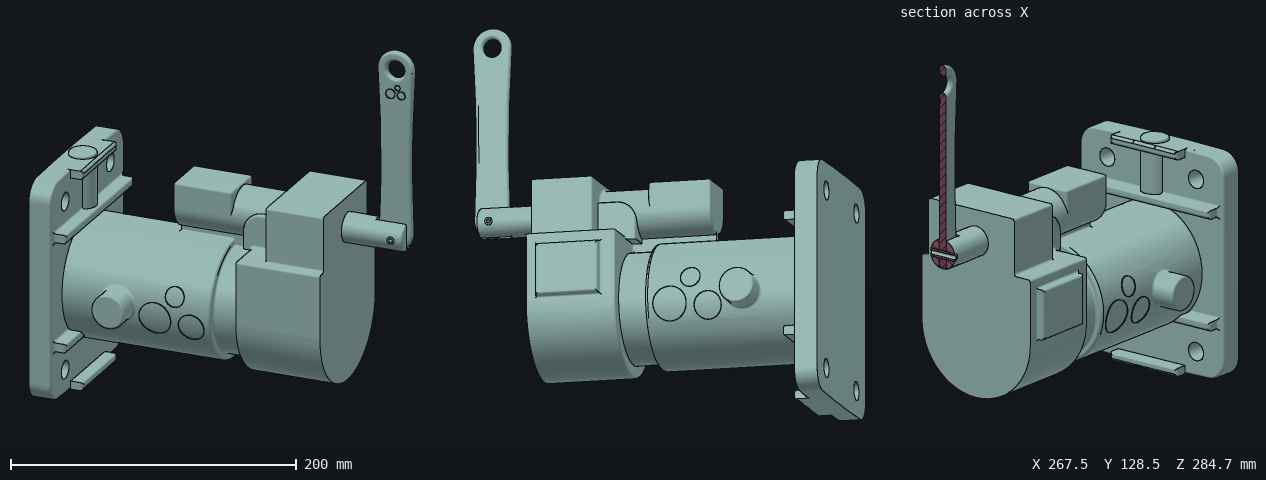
import cadquery as cq

EDGE_RADIUS = 2.0
BASE_RADIUS = 2.0

ROOT_MARGIN = 0.3

PLATE_THICKNESS = 17.0
PLATE_WIDTH = 128.5
PLATE_TOP = 89.5
PLATE_BOTTOM = -77.5
PLATE_CORNER_RADIUS = 14.2
PLATE_CROWN = 1.0
BOLT_HOLE_DIAMETER = 13.5
BOLT_HALF_SPACING = 39.5
BOLT_UPPER_Z = 68.5
BOLT_LOWER_Z = -58.5

RIB_END_X = 26.5
RIB_HEIGHT = 6.5
SHORT_RIB_WIDTH = 59.5
LONG_RIB_WIDTH = 118.0
SHORT_RIB_INSET = RIB_HEIGHT / 2
UPPER_LONG_RIB_Z = 48.5
LOWER_LONG_RIB_Z = -34.2

PLUG_X = 13.5
PLUG_DIAMETER = 20.5
PLUG_TOP = 92.0

BARREL_DIAMETER = 90.0
BARREL_END_X = 130.5
NECK_DIAMETER = 79.5
NECK_BASE_RADIUS = 1.5
TRUNNION_X = 59.5
TRUNNION_DIAMETER = 25.0
TRUNNION_SPAN = 124.0
TRUNNION_EDGE_RADIUS = 1.5

BARREL_DIMPLES = [(87.7, -6.5, 24.2), (102.5, 11.7, 14.2), (115.3, -9.0, 19.5)]
BARREL_DIMPLE_MID_X = 100.2
DIMPLE_DEPTH = 0.5

GEARBOX_START_X = 151.0
GEARBOX_END_X = 215.8
GEARBOX_RADIUS = 48.5
HEAD_START_X = 171.5
HEAD_LEFT_Y = 34.2
HEAD_RIGHT_Y = -42.5
HEAD_TOP = 90.5
COVER_START_X = 162.3
COVER_END_X = 207.8
COVER_BOTTOM_Z = 2.8
COVER_TOP_Z = 39.9
COVER_FACE_Y = 53.8
COVER_BASE_RADIUS = 1.5

SHAFT_Z = 67.5
MOTOR_RADIUS = 18.0
MOTOR_START_X = 90.0
MOTOR_BLOCK_END_X = 135.5
MOTOR_BLOCK_TOP = 87.0
WEB_WIDTH = 5.0
WEB_BASE_RADIUS = 1.5
GUSSET_START_X = 144.0
GUSSET_WIDTH = 39.3
GUSSET_BOTTOM = 46.5
GUSSET_TOP = 74.0
GUSSET_CORNER_RADIUS = 14.5

SHAFT_DIAMETER = 22.0
SHAFT_END_X = 262.2
SHAFT_EDGE_RADIUS = 2.0
SLOT_START_X = 238.8

ARM_X = 253.3
ARM_THICKNESS = 6.0
ARM_EDGE_RADIUS = 2.8
ARM_EYE_Z = 193.0
ARM_EYE_RADIUS = 14.2
ARM_EYE_HOLE_DIAMETER = 12.5
ARM_WAIST_Z = 131.0
ARM_WAIST_HALF_WIDTH = 12.0
ARM_FOOT_Z = 69.7
ARM_FOOT_RADIUS = 13.0
ARM_DIMPLES = [(-3.7, 174.8, 7.0), (1.7, 180.0, 4.0), (4.5, 174.5, 6.0)]

PIN_DIAMETER = 5.5
PIN_BORE_DIAMETER = 2.7
PIN_Z = SHAFT_Z - 0.3


def block(x_range, y_range, z_range):
    """Box between the given limits."""
    low, high = zip(x_range, y_range, z_range)
    size = [end - start for start, end in zip(low, high)]
    return cq.Workplane("XY").box(*size, centered=False).translate(low)


def cylinder_x(diameter, start_x, end_x, z=0):
    """Cylinder along X."""
    return (
        cq.Workplane("YZ", origin=(start_x, 0, z))
        .circle(diameter / 2)
        .extrude(end_x - start_x)
    )


def cylinder_y(diameter, x, z, start_y, end_y):
    """Cylinder along Y."""
    return (
        cq.Workplane("XZ", origin=(x, start_y, z))
        .circle(diameter / 2)
        .extrude(start_y - end_y)
    )


def edges_within(body, x_range, y_range, z_range):
    """Edges whose centres lie between the given limits."""
    low, high = zip(x_range, y_range, z_range)
    return body.edges(cq.selectors.BoxSelector(low, high))


def plate_outline():
    """Closed outline of the plate, with gently crowned top and bottom edges."""
    half_width = PLATE_WIDTH / 2
    return (
        cq.Workplane("YZ")
        .moveTo(-half_width, PLATE_BOTTOM + PLATE_CROWN)
        .threePointArc((0, PLATE_BOTTOM), (half_width, PLATE_BOTTOM + PLATE_CROWN))
        .lineTo(half_width, PLATE_TOP - PLATE_CROWN)
        .threePointArc((0, PLATE_TOP), (-half_width, PLATE_TOP - PLATE_CROWN))
        .close()
    )


def make_rib(width, z):
    """Horizontal rib on the back of the plate, kept inside the plate outline."""
    rib = block(
        (PLATE_THICKNESS / 2, RIB_END_X),
        (-width / 2, width / 2),
        (z - RIB_HEIGHT / 2, z + RIB_HEIGHT / 2),
    ).intersect(plate_outline().extrude(RIB_END_X))
    return rib.faces(">X").edges().fillet(EDGE_RADIUS)


def make_plate():
    """Mounting plate with the long ribs on its back."""
    plate = (
        plate_outline()
        .extrude(PLATE_THICKNESS)
        .edges("|X").fillet(PLATE_CORNER_RADIUS)
        .faces(">X").edges().fillet(EDGE_RADIUS)
    )
    for z in (UPPER_LONG_RIB_Z, LOWER_LONG_RIB_Z):
        plate = plate.union(make_rib(LONG_RIB_WIDTH, z))
        rib_root = edges_within(
            plate,
            (PLATE_THICKNESS - ROOT_MARGIN, PLATE_THICKNESS + ROOT_MARGIN),
            (-LONG_RIB_WIDTH, LONG_RIB_WIDTH),
            (z - RIB_HEIGHT, z + RIB_HEIGHT),
        )
        plate = rib_root.fillet(BASE_RADIUS)
    return plate


def add_plate_details(body):
    """Short ribs at the plate edges, the vertical plug and the bolt holes."""
    for z in (PLATE_TOP - SHORT_RIB_INSET, PLATE_BOTTOM + SHORT_RIB_INSET):
        body = body.union(make_rib(SHORT_RIB_WIDTH, z))

    plug = (
        cq.Workplane("XY", origin=(PLUG_X, 0, UPPER_LONG_RIB_Z))
        .circle(PLUG_DIAMETER / 2)
        .extrude(PLUG_TOP - UPPER_LONG_RIB_Z)
        .faces(">Z").edges().fillet(EDGE_RADIUS)
    )
    body = body.union(plug)

    for y in (-BOLT_HALF_SPACING, BOLT_HALF_SPACING):
        for z in (BOLT_LOWER_Z, BOLT_UPPER_Z):
            hole = cylinder_x(BOLT_HOLE_DIAMETER, 0, RIB_END_X, z).translate((0, y, 0))
            body = body.cut(hole)
    return body


def make_barrel():
    """Main barrel with a pair of trunnions and shallow round recesses."""
    barrel = cylinder_x(BARREL_DIAMETER, PLATE_THICKNESS / 2, BARREL_END_X)
    barrel = barrel.faces(">X").edges().fillet(EDGE_RADIUS)
    half_span = TRUNNION_SPAN / 2
    trunnions = cylinder_y(TRUNNION_DIAMETER, TRUNNION_X, 0, half_span, -half_span)
    trunnions = trunnions.edges().fillet(TRUNNION_EDGE_RADIUS)
    barrel = barrel.union(trunnions)
    half_root = BARREL_DIAMETER / 2 + ROOT_MARGIN
    trunnion_roots = edges_within(
        barrel,
        (TRUNNION_X - TRUNNION_DIAMETER, TRUNNION_X + TRUNNION_DIAMETER),
        (-half_root, half_root),
        (-TRUNNION_DIAMETER, TRUNNION_DIAMETER),
    ).edges("not %LINE")
    barrel = trunnion_roots.fillet(BASE_RADIUS)

    floor = cylinder_x(BARREL_DIAMETER - 2 * DIMPLE_DEPTH, PLATE_THICKNESS, BARREL_END_X)
    for x, z, diameter in BARREL_DIMPLES:
        mirrored_x = 2 * BARREL_DIMPLE_MID_X - x
        front = cylinder_y(diameter, x, z, 0, -BARREL_DIAMETER)
        back = cylinder_y(diameter, mirrored_x, z, BARREL_DIAMETER, 0)
        barrel = barrel.cut(front.cut(floor)).cut(back.cut(floor))
    return barrel


def make_gear_case():
    """Lower gearbox: flat top and sides, round bottom."""
    case = (
        cq.Workplane("YZ", origin=(GEARBOX_START_X, 0, 0))
        .moveTo(-GEARBOX_RADIUS, GEARBOX_RADIUS)
        .lineTo(-GEARBOX_RADIUS, 0)
        .threePointArc((0, -GEARBOX_RADIUS), (GEARBOX_RADIUS, 0))
        .lineTo(GEARBOX_RADIUS, GEARBOX_RADIUS)
        .close()
        .extrude(GEARBOX_END_X - GEARBOX_START_X)
    )
    return case.faces("<X or >Z").edges("not(>X)").fillet(EDGE_RADIUS)


def make_head_and_motor():
    """Rectangular gearbox head with the round motor standing on its front face."""
    head = block((HEAD_START_X, GEARBOX_END_X), (HEAD_RIGHT_Y, HEAD_LEFT_Y), (0, HEAD_TOP))
    head = head.faces("<X or >Z").edges("not(>X or <Z)").fillet(EDGE_RADIUS)
    motor = cylinder_x(2 * MOTOR_RADIUS, MOTOR_START_X + EDGE_RADIUS, HEAD_START_X + EDGE_RADIUS, SHAFT_Z)
    head = head.union(motor)
    motor_root = edges_within(
        head,
        (HEAD_START_X - ROOT_MARGIN, HEAD_START_X + ROOT_MARGIN),
        (-MOTOR_RADIUS, MOTOR_RADIUS),
        (SHAFT_Z - MOTOR_RADIUS, SHAFT_Z + MOTOR_RADIUS),
    )
    return motor_root.fillet(BASE_RADIUS)


def make_gusset():
    """Round-cornered gusset between the motor and the gear case."""
    return (
        block(
            (GUSSET_START_X, HEAD_START_X + EDGE_RADIUS),
            (-GUSSET_WIDTH / 2, GUSSET_WIDTH / 2),
            (GUSSET_BOTTOM, GUSSET_TOP),
        )
        .edges("<X and >Z").fillet(GUSSET_CORNER_RADIUS)
        .edges("(<Y or >Y) and (not <Z) and (not >X)").fillet(EDGE_RADIUS)
    )


def make_gearbox():
    """Gear case, head, motor, gusset and side cover with blended roots."""
    body = make_gear_case().union(make_head_and_motor()).union(make_gusset())
    head_root = edges_within(
        body,
        (GEARBOX_START_X + EDGE_RADIUS, GEARBOX_END_X - ROOT_MARGIN),
        (HEAD_RIGHT_Y - ROOT_MARGIN, HEAD_LEFT_Y + ROOT_MARGIN),
        (GEARBOX_RADIUS - ROOT_MARGIN, GEARBOX_RADIUS + ROOT_MARGIN),
    )
    body = head_root.fillet(BASE_RADIUS)

    cover = block((COVER_START_X, COVER_END_X), (0, COVER_FACE_Y), (COVER_BOTTOM_Z, COVER_TOP_Z))
    body = body.union(cover.faces(">Y").edges().fillet(EDGE_RADIUS))
    cover_root = edges_within(
        body,
        (COVER_START_X - ROOT_MARGIN, COVER_END_X + ROOT_MARGIN),
        (GEARBOX_RADIUS - ROOT_MARGIN, GEARBOX_RADIUS + ROOT_MARGIN),
        (COVER_BOTTOM_Z - ROOT_MARGIN, COVER_TOP_Z + ROOT_MARGIN),
    )
    return cover_root.fillet(COVER_BASE_RADIUS)


def make_motor_end():
    """Square-topped block at the free end of the motor, and the thin web under the motor."""
    end_block = (
        cq.Workplane("YZ", origin=(MOTOR_START_X, 0, 0))
        .moveTo(-MOTOR_RADIUS, MOTOR_BLOCK_TOP)
        .lineTo(-MOTOR_RADIUS, SHAFT_Z)
        .threePointArc((0, SHAFT_Z - MOTOR_RADIUS), (MOTOR_RADIUS, SHAFT_Z))
        .lineTo(MOTOR_RADIUS, MOTOR_BLOCK_TOP)
        .close()
        .extrude(MOTOR_BLOCK_END_X - MOTOR_START_X)
        .edges("<X or >X or >Z").fillet(EDGE_RADIUS)
    )
    web = block(
        (MOTOR_START_X, GEARBOX_START_X + EDGE_RADIUS), (-WEB_WIDTH / 2, WEB_WIDTH / 2), (0, SHAFT_Z)
    )
    return end_block.union(web)


def make_housing():
    """Plate, barrel, neck, gearbox and motor cast as one piece."""
    body = add_plate_details(make_plate().union(make_barrel()))
    neck = cylinder_x(NECK_DIAMETER, BARREL_END_X - EDGE_RADIUS, GEARBOX_START_X + EDGE_RADIUS)
    body = body.union(neck)
    neck_root = edges_within(
        body,
        (BARREL_END_X - ROOT_MARGIN, BARREL_END_X + ROOT_MARGIN),
        (-ROOT_MARGIN, ROOT_MARGIN),
        (-ROOT_MARGIN, ROOT_MARGIN),
    ).edges("%CIRCLE").edges(cq.selectors.RadiusNthSelector(0))
    body = neck_root.fillet(NECK_BASE_RADIUS)
    body = body.union(make_gearbox()).union(make_motor_end())
    web_root = edges_within(
        body,
        (MOTOR_START_X - ROOT_MARGIN, GEARBOX_START_X + ROOT_MARGIN),
        (-WEB_WIDTH / 2 - ROOT_MARGIN, WEB_WIDTH / 2 + ROOT_MARGIN),
        (NECK_DIAMETER / 2 - ROOT_MARGIN, BARREL_DIAMETER / 2 + ROOT_MARGIN),
    )
    return web_root.fillet(WEB_BASE_RADIUS)


def make_shaft():
    """Output shaft, starting at the gearbox face, with the arm slot and the pin hole."""
    shaft = cylinder_x(SHAFT_DIAMETER, GEARBOX_END_X, SHAFT_END_X, SHAFT_Z)
    shaft = shaft.faces(">X").edges().fillet(SHAFT_EDGE_RADIUS)
    slot = block(
        (SLOT_START_X, SHAFT_END_X),
        (-ARM_THICKNESS / 2, ARM_THICKNESS / 2),
        (SHAFT_Z - SHAFT_DIAMETER, SHAFT_Z + SHAFT_DIAMETER),
    )
    pin_hole = cylinder_y(PIN_DIAMETER, ARM_X, PIN_Z, SHAFT_DIAMETER, -SHAFT_DIAMETER)
    return shaft.cut(slot).cut(pin_hole)


def make_arm():
    """Waisted flat arm with an eye at the top and a rounded foot in the shaft slot."""
    arm = (
        cq.Workplane("XZ", origin=(ARM_X, ARM_THICKNESS / 2, 0))
        .moveTo(-ARM_FOOT_RADIUS, ARM_FOOT_Z)
        .threePointArc((-ARM_WAIST_HALF_WIDTH, ARM_WAIST_Z), (-ARM_EYE_RADIUS, ARM_EYE_Z))
        .threePointArc((0, ARM_EYE_Z + ARM_EYE_RADIUS), (ARM_EYE_RADIUS, ARM_EYE_Z))
        .threePointArc((ARM_WAIST_HALF_WIDTH, ARM_WAIST_Z), (ARM_FOOT_RADIUS, ARM_FOOT_Z))
        .threePointArc((0, ARM_FOOT_Z - ARM_FOOT_RADIUS), (-ARM_FOOT_RADIUS, ARM_FOOT_Z))
        .close()
        .extrude(ARM_THICKNESS)
    )
    eye_hole = cylinder_y(ARM_EYE_HOLE_DIAMETER, ARM_X, ARM_EYE_Z, ARM_THICKNESS, -ARM_THICKNESS)
    arm = arm.cut(eye_hole).faces("<Y or >Y").edges().fillet(ARM_EDGE_RADIUS)
    face_y = -ARM_THICKNESS / 2
    for offset, z, diameter in ARM_DIMPLES:
        arm = arm.cut(cylinder_y(diameter, ARM_X + offset, z, face_y + DIMPLE_DEPTH, face_y))
    return arm.cut(cylinder_y(PIN_DIAMETER, ARM_X, PIN_Z, ARM_THICKNESS, -ARM_THICKNESS))


def make_cross_pin():
    """Hollow pin, trimmed to the round surface of the shaft."""
    half_length = SHAFT_DIAMETER / 2
    pin = cylinder_y(PIN_DIAMETER, ARM_X, PIN_Z, half_length, -half_length)
    bore = cylinder_y(PIN_BORE_DIAMETER, ARM_X, PIN_Z, half_length, -half_length)
    envelope = cylinder_x(SHAFT_DIAMETER, GEARBOX_END_X, SHAFT_END_X, SHAFT_Z)
    return pin.cut(bore).intersect(envelope)


housing = make_housing()
shaft = make_shaft()
arm = make_arm()
cross_pin = make_cross_pin()

result = cq.Compound.makeCompound([housing.val(), shaft.val(), arm.val(), cross_pin.val()])